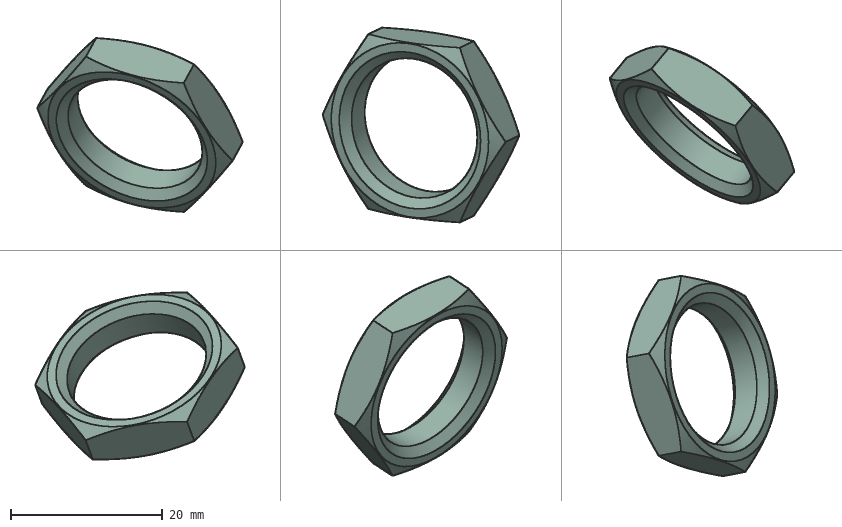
import cadquery as cq
import math

across_corners = 27.7
thickness = 6.0
bore_diameter = 19.0
countersink_diameter = 21.4
countersink_angle = 45.0
face_diameter = 23.8
corner_chamfer_angle = 30.0

half_thickness = thickness / 2
corner_radius = across_corners / 2
bore_radius = bore_diameter / 2
countersink_radius = countersink_diameter / 2
face_radius = face_diameter / 2
corner_drop = (corner_radius - face_radius) * math.tan(math.radians(corner_chamfer_angle))
countersink_depth = (countersink_radius - bore_radius) * math.tan(math.radians(countersink_angle))


def hexagonal_blank():
    """Hexagonal prism with two corners on the X axis."""
    return cq.Workplane("XZ").polygon(6, across_corners).extrude(half_thickness, both=True)


def turned_envelope():
    """Ring with chamfered rims and a bore countersunk at both ends."""
    profile = [
        (bore_radius, countersink_depth - half_thickness),
        (countersink_radius, -half_thickness),
        (face_radius, -half_thickness),
        (corner_radius, corner_drop - half_thickness),
        (corner_radius, half_thickness - corner_drop),
        (face_radius, half_thickness),
        (countersink_radius, half_thickness),
        (bore_radius, half_thickness - countersink_depth),
    ]
    return cq.Workplane("XY").polyline(profile).close().revolve(360, (0, 0, 0), (0, 1, 0))


result = hexagonal_blank().intersect(turned_envelope())